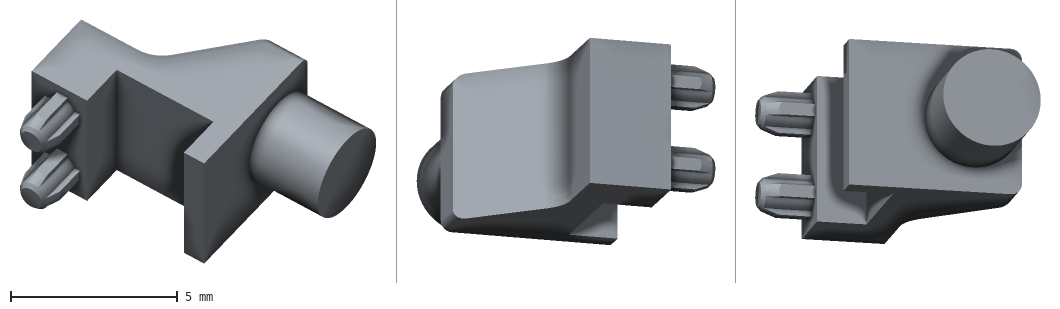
import cadquery as cq
import math

body_length = 6.36
body_depth = 5.31
body_height = 4.52
step_depth = 2.54
notch_left = 2.045
notch_right = 5.61
notch_depth = 1.52
slope_foot_x = 2.66
slope_top_x = 5.085
slope_blend_radius = 1.26
back_edge_radius = 0.34

overall_length = 8.89
barrel_diameter = 3.0
barrel_y = 3.805

peg_x = 1.13
peg_pitch = 2.54
peg_length = 1.6
peg_radius = 0.51
peg_tip_chamfer = 0.125
rib_span = 1.29
rib_width = 0.38
rib_taper_start = 1.09


def make_body():
    slope_angle = math.atan2(body_depth - step_depth, slope_top_x - slope_foot_x)
    tangent_length = slope_blend_radius * math.tan(slope_angle / 2)
    blend_start = (slope_foot_x - tangent_length, step_depth)
    blend_end = (
        slope_foot_x + tangent_length * math.cos(slope_angle),
        step_depth + tangent_length * math.sin(slope_angle),
    )
    body = (
        cq.Workplane("XY")
        .moveTo(0, 0)
        .lineTo(notch_left, 0)
        .lineTo(notch_left, notch_depth)
        .lineTo(notch_right, notch_depth)
        .lineTo(notch_right, 0)
        .lineTo(body_length, 0)
        .lineTo(body_length, body_depth)
        .lineTo(slope_top_x, body_depth)
        .lineTo(*blend_end)
        .tangentArcPoint(blend_start, relative=False)
        .lineTo(0, step_depth)
        .close()
        .extrude(body_height)
    )
    return body.faces(">Y").edges("|X").fillet(back_edge_radius)


def make_barrel():
    return (
        cq.Workplane("YZ", origin=(body_length, barrel_y, body_height / 2))
        .circle(barrel_diameter / 2)
        .extrude(overall_length - body_length)
    )


def make_peg():
    """Round pin with four ribs, pointing along -Y from the origin."""
    shoulder = peg_length - peg_tip_chamfer
    pin = (
        cq.Workplane("XZ")
        .circle(peg_radius)
        .extrude(peg_length)
        .faces("<Y")
        .chamfer(peg_tip_chamfer)
    )
    ribs = (
        cq.Workplane("XZ")
        .rect(rib_span, rib_width)
        .extrude(shoulder)
        .union(cq.Workplane("XZ").rect(rib_width, rib_span).extrude(shoulder))
    )
    rib_radius = rib_span / 2
    taper_slope = (rib_radius - peg_radius) / (shoulder - rib_taper_start)
    cone_base_radius = rib_radius + taper_slope * rib_taper_start
    cone = (
        cq.Workplane("XY")
        .polyline([(0, 0), (cone_base_radius, 0), (peg_radius, -shoulder), (0, -shoulder)])
        .close()
        .revolve(360, (0, 0, 0), (0, 1, 0))
    )
    return pin.union(ribs.intersect(cone))


result = make_body().union(make_barrel())
for side in (-1, 1):
    peg_z = body_height / 2 + side * peg_pitch / 2
    result = result.union(make_peg().translate((peg_x, 0, peg_z)))